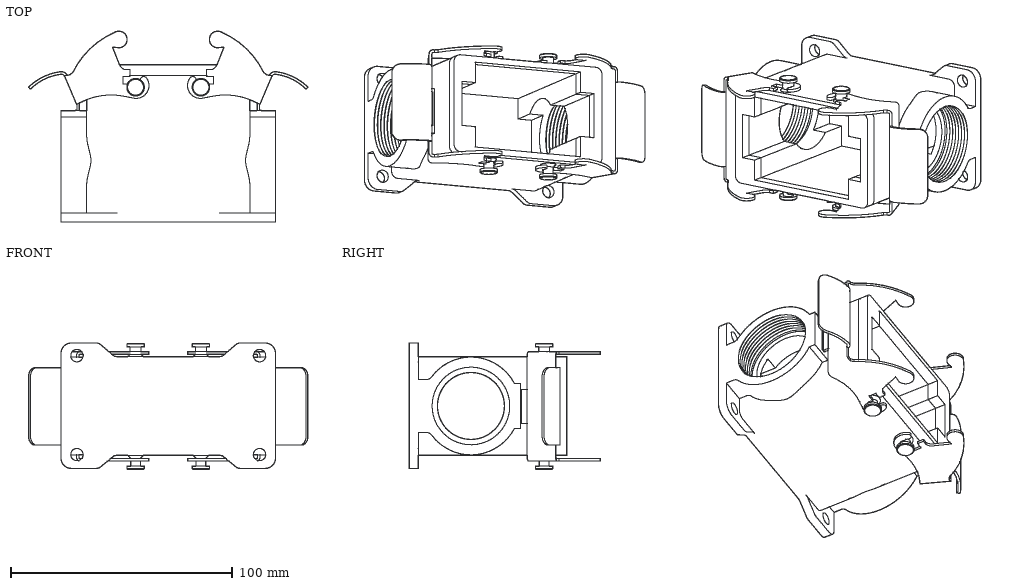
import cadquery as cq
import math


select_margin = 0.3

shell_length = 73.6
shell_height = 44.6
shell_corner_radius = 3.2
rim_end_y = 71.1
rim_depth = 4.9
rim_start_y = rim_end_y - rim_depth
cavity_length = 52.2
cavity_height = 39.1
end_slot_length = 65.5
end_slot_height = 20.3

plate_length = 96.9
plate_height = 56.7
plate_thickness = 4.2
plate_center_z = 0.1
plate_corner_radius = 4.8
waist_corner_radius = 3.2
waist_outer_x = 31.4
waist_inner_x = 24.2
mount_hole_diameter = 5.5
mount_hole_x = 41.2
mount_hole_center_z = 0.4
mount_hole_z = 22.3

entry_y = 27.8
entry_outer_radius = 22.0
entry_pad_top_y = 50.3
entry_pad_width = 20.4
entry_foot_width = 24.0
entry_foot_fillet = 2.9
bore_diameter = 30.1
thread_bore_diameter = 35.0
thread_root_diameter = 37.4
thread_bore_depth = 12.5
thread_pitch = 1.6
thread_turns = 7

pin_x = 14.7
pin_y = 60.9
pin_flare_diameter = 7.0
top_neck_diameter = 5.0
bottom_neck_diameter = 4.5
pin_head_diameter = 8.0
pin_head_thickness = 1.5
pin_head_chamfer = 0.4
pin_tip_span = 56.8

sheet = 1.3
lever_width = 49.4
lever_center_z = -0.19
lever_inner_width = lever_width - 2 * sheet
bend_radius = 1.9
inner_bend_radius = bend_radius - sheet
web_tilt = 23.0
web_top = (-46.9, 66.0)
web_length = 14.0
web_shoulder = [(-44.4, 66.5), (-43.1, 67.5)]
back_arc_middle = (-36.2, 77.4)
back_arc_end_angle = 120.0
hook_radius = 3.8
hook_center = (-22.3, 82.4)
throat_top = (-25.1, 78.9)
throat_bottom = (-22.0, 71.3)
throat_arc_middle = (-21.2, 69.8)
throat_arc_end_x = -19.5
lip_x = -17.3
lip_top_y = 68.8
slot_x = -20.4
slot_top_y = 65.8
slot_bottom_y = 62.2
eye_opening_x = -12.2
eye_radius = 5.8
eye_center = (-14.5, 61.6)
eye_tip_radius = 1.5
eye_tip_angle = 37.0
eye_middle_angle = -30.0
eye_end_angle = -95.0
belly_start = (-18.9, 56.6)
belly_middle = (-27.5, 57.3)
handle_width = 35.0
handle_bend_radius = 2.3
handle_radius = 24.0
handle_blend_angle = 97.0
handle_end_angle = 135.2
handle_corner_radius = 4.0
handle_root_drop = 0.4
tab_width = 15.4
tab_thickness = 1.1
tab_center_x = -40.7
tab_foot_thickness = 1.9
tab_foot_height = 0.4
tab_foot_offset = 0.3


def polar(center, radius, angle):
    """Point at an angle in degrees on a circle."""
    turn = math.radians(angle)
    return (center[0] + radius * math.cos(turn), center[1] + radius * math.sin(turn))


def edges_at(xs, ys):
    """Selector for edges, at any height, inside the given X and Y ranges and a small margin."""
    low = (min(xs) - select_margin, min(ys) - select_margin, -plate_height)
    high = (max(xs) + select_margin, max(ys) + select_margin, plate_height)
    return cq.selectors.BoxSelector(low, high)


def block_along_y(length, height, start_y, end_y):
    """Box centred on X and Z that spans start_y to end_y."""
    return cq.Workplane("XY").box(length, end_y - start_y, height).translate((0, (start_y + end_y) / 2, 0))


def cavity(start_y, end_y):
    """Room for the contact insert, with a narrower slot at each X end."""
    return block_along_y(cavity_length, cavity_height, start_y, end_y).union(
        block_along_y(end_slot_length, end_slot_height, start_y, end_y)
    )


def shell_block(start_y, end_y):
    """Piece of the rounded rectangular housing body."""
    return block_along_y(shell_length, shell_height, start_y, end_y).edges("|Y").fillet(shell_corner_radius)


def base_plate():
    """Flange with four corner ears and a waist as high as the shell between them."""
    half_length = plate_length / 2
    top_z = plate_center_z + plate_height / 2
    bottom_z = plate_center_z - plate_height / 2
    waist_z = shell_height / 2
    plate = (
        cq.Workplane("XZ")
        .polyline([
            (-half_length, top_z),
            (-waist_outer_x, top_z),
            (-waist_inner_x, waist_z),
            (waist_inner_x, waist_z),
            (waist_outer_x, top_z),
            (half_length, top_z),
            (half_length, bottom_z),
            (waist_outer_x, bottom_z),
            (waist_inner_x, -waist_z),
            (-waist_inner_x, -waist_z),
            (-waist_outer_x, bottom_z),
            (-half_length, bottom_z),
        ])
        .close()
        .extrude(-plate_thickness)
    )
    plate = plate.edges("|Y and (<X or >X)").fillet(plate_corner_radius)
    waist_edges = edges_at((-waist_outer_x, waist_outer_x), (0, plate_thickness))
    return plate.edges("|Y").edges(waist_edges).fillet(waist_corner_radius)


def mount_holes():
    """Screw holes through the four ears of the base plate."""
    heights = (mount_hole_center_z - mount_hole_z, mount_hole_center_z + mount_hole_z)
    places = [(x, z) for x in (-mount_hole_x, mount_hole_x) for z in heights]
    return cq.Workplane("XZ").pushPoints(places).circle(mount_hole_diameter / 2).extrude(-plate_thickness)


def entry_collars():
    """Round collars through both ends, each with a flat pad above and a foot on the plate."""
    half_length = plate_length / 2
    barrel = cq.Workplane("YZ").center(entry_y, 0).circle(entry_outer_radius).extrude(half_length, both=True)
    foot = block_along_y(plate_length, entry_foot_width, 0, entry_y)
    pad = block_along_y(plate_length, entry_pad_width, entry_y, entry_pad_top_y)
    joint_y = entry_y - math.sqrt(entry_outer_radius**2 - (entry_foot_width / 2) ** 2)
    joints = edges_at((-half_length, half_length), (joint_y, joint_y))
    return barrel.union(foot).edges("|X").edges(joints).fillet(entry_foot_fillet).union(pad)


def entry_bore(side):
    """Stepped bore of one end, with a ring-shaped groove for each turn of the thread."""
    mouth = plate_length / 2
    shoulder = mouth - thread_bore_depth
    thread_start = mouth - thread_turns * thread_pitch
    crest = thread_bore_diameter / 2
    root = thread_root_diameter / 2
    profile = [(0, 0), (bore_diameter / 2, 0), (bore_diameter / 2, shoulder), (crest, shoulder)]
    profile.append((crest, thread_start))
    for turn in range(thread_turns):
        profile.append((root, thread_start + (turn + 0.5) * thread_pitch))
        profile.append((crest, thread_start + (turn + 1) * thread_pitch))
    profile.append((0, mouth))
    bore = cq.Workplane("XY").polyline(profile).close().revolve(360, (0, 0, 0), (0, 1, 0))
    return bore.rotate((0, 0, 0), (0, 0, 1), -90 * side).translate((0, entry_y, 0))


def pivot_pin(x, side, neck_diameter):
    """Headed pin standing on the +Z (side 1) or -Z (side -1) wall; the flare ends under the lever."""
    wall_z = shell_height / 2
    flare_end_z = lever_inner_width / 2 + side * lever_center_z
    tip_z = pin_tip_span / 2 + side * lever_center_z
    head_z = tip_z - pin_head_thickness
    neck = neck_diameter / 2
    flare = pin_flare_diameter / 2
    head = pin_head_diameter / 2
    pin = (
        cq.Workplane("XZ")
        .polyline([
            (0, wall_z),
            (flare, wall_z),
            (neck, flare_end_z),
            (neck, head_z),
            (head, head_z),
            (head, tip_z - pin_head_chamfer),
            (head - pin_head_chamfer, tip_z),
            (0, tip_z),
        ])
        .close()
        .revolve(360, (0, 0, 0), (0, 1, 0))
    )
    if side < 0:
        pin = pin.mirror("XY")
    return pin.translate((x, pin_y, 0))


def make_housing():
    """Shell, base plate, cable entries and pivot pins as one body."""
    housing = shell_block(0, rim_start_y).union(entry_collars()).union(base_plate())
    housing = housing.cut(cavity(plate_thickness, rim_start_y)).cut(mount_holes())
    for side in (-1, 1):
        housing = housing.cut(entry_bore(side))
    for x in (-pin_x, pin_x):
        housing = housing.union(pivot_pin(x, 1, top_neck_diameter))
        housing = housing.union(pivot_pin(x, -1, bottom_neck_diameter))
    return housing


def make_rim():
    """Frame around the housing mouth, flush with the shell."""
    return shell_block(rim_start_y, rim_end_y).cut(cavity(rim_start_y, rim_end_y))


def lever_outline():
    """Side outline of the -X lever: hook above, pivot eye at the right, web at the left."""
    web_bottom = polar(web_top, web_length, web_tilt - 90)
    web_corner = polar(web_bottom, bend_radius, web_tilt)
    eye_tip = polar(eye_center, eye_radius - eye_tip_radius, eye_tip_angle)
    eye_tip_middle = polar(eye_tip, eye_tip_radius, (180 + eye_tip_angle) / 2)
    eye_tip_end = polar(eye_tip, eye_tip_radius, eye_tip_angle)
    return (
        cq.Workplane("XY")
        .moveTo(*web_top)
        .lineTo(*web_shoulder[0])
        .lineTo(*web_shoulder[1])
        .threePointArc(back_arc_middle, polar(hook_center, hook_radius, back_arc_end_angle))
        .threePointArc(polar(hook_center, hook_radius, 0), polar(hook_center, hook_radius, -90))
        .lineTo(*throat_top)
        .lineTo(*throat_bottom)
        .threePointArc(throat_arc_middle, (throat_arc_end_x, lip_top_y))
        .lineTo(lip_x, lip_top_y)
        .lineTo(lip_x, slot_top_y)
        .lineTo(slot_x, slot_top_y)
        .lineTo(slot_x, slot_bottom_y)
        .lineTo(eye_opening_x, slot_bottom_y)
        .lineTo(*polar(eye_tip, eye_tip_radius, 180))
        .threePointArc(eye_tip_middle, eye_tip_end)
        .threePointArc(
            polar(eye_center, eye_radius, eye_middle_angle), polar(eye_center, eye_radius, eye_end_angle)
        )
        .lineTo(*belly_start)
        .threePointArc(belly_middle, web_corner)
        .lineTo(*web_bottom)
        .close()
    )


def lever_sheet():
    """Two side plates joined by a web, bent from one sheet."""
    solid = lever_outline().extrude(lever_width / 2, both=True)
    pin_hole = cq.Workplane("XY").center(-pin_x, pin_y).circle(top_neck_diameter / 2)
    solid = solid.cut(pin_hole.extrude(lever_width, both=True))

    web_middle = polar(web_top, web_length / 2, web_tilt - 90)
    solid = solid.edges(edges_at(web_middle[:1], web_middle[1:])).fillet(bend_radius)

    hollow_size = 2 * plate_length
    hollow = cq.Workplane("XY").box(hollow_size, hollow_size, lever_inner_width)
    hollow = hollow.edges("|Y and <X").fillet(inner_bend_radius)
    hollow = hollow.translate((hollow_size / 2 + sheet, 0, 0)).rotate((0, 0, 0), (0, 0, 1), web_tilt)
    return solid.cut(hollow.translate((*web_middle, 0)))


def handle():
    """Curved grip: a tight bend off the top of the web runs into a wide arc."""
    start = polar(polar(web_top, sheet / 2, web_tilt), handle_root_drop, web_tilt - 90)
    bend_center = polar(start, -handle_bend_radius, web_tilt)
    arc_center = polar(bend_center, handle_bend_radius - handle_radius, handle_blend_angle)
    bend_middle = (web_tilt + handle_blend_angle) / 2
    arc_middle = (handle_blend_angle + handle_end_angle) / 2
    bend_in = handle_bend_radius - sheet / 2
    bend_out = handle_bend_radius + sheet / 2
    arc_in = handle_radius - sheet / 2
    arc_out = handle_radius + sheet / 2
    grip = (
        cq.Workplane("XY")
        .moveTo(*polar(bend_center, bend_out, web_tilt))
        .threePointArc(
            polar(bend_center, bend_out, bend_middle), polar(bend_center, bend_out, handle_blend_angle)
        )
        .threePointArc(polar(arc_center, arc_out, arc_middle), polar(arc_center, arc_out, handle_end_angle))
        .lineTo(*polar(arc_center, arc_in, handle_end_angle))
        .threePointArc(polar(arc_center, arc_in, arc_middle), polar(arc_center, arc_in, handle_blend_angle))
        .threePointArc(polar(bend_center, bend_in, bend_middle), polar(bend_center, bend_in, web_tilt))
        .close()
        .extrude(handle_width / 2, both=True)
    )
    tip = polar(arc_center, handle_radius, handle_end_angle)
    tip_edges = edges_at((tip[0] - sheet / 2, tip[0] + sheet / 2), (tip[1] - sheet / 2, tip[1] + sheet / 2))
    return grip.edges(tip_edges).edges("not |Z").fillet(handle_corner_radius)


def rest_tab():
    """Narrow tab from the bottom of the web down to the collar pad."""
    web_bottom = polar(web_top, web_length, web_tilt - 90)
    tab_top = web_bottom[1] + 2 * sheet
    tab = (
        cq.Workplane("XY")
        .box(tab_thickness, tab_top - entry_pad_top_y, tab_width)
        .translate((tab_center_x, (tab_top + entry_pad_top_y) / 2, 0))
    )
    foot = (
        cq.Workplane("XY")
        .box(tab_foot_thickness, tab_foot_height, tab_width)
        .translate((tab_center_x - tab_foot_offset, entry_pad_top_y + tab_foot_height / 2, 0))
    )
    return tab.union(foot)


def make_lever(side):
    """Locking lever of the -X end (side -1) or its mirror image at the +X end (side 1)."""
    lever = lever_sheet().union(handle()).union(rest_tab()).translate((0, 0, lever_center_z))
    return lever.mirror("YZ") if side > 0 else lever


housing = make_housing()
rim = make_rim()
levers = [make_lever(side).val() for side in (-1, 1)]

result = cq.Compound.makeCompound([housing.val(), rim.val(), *levers])